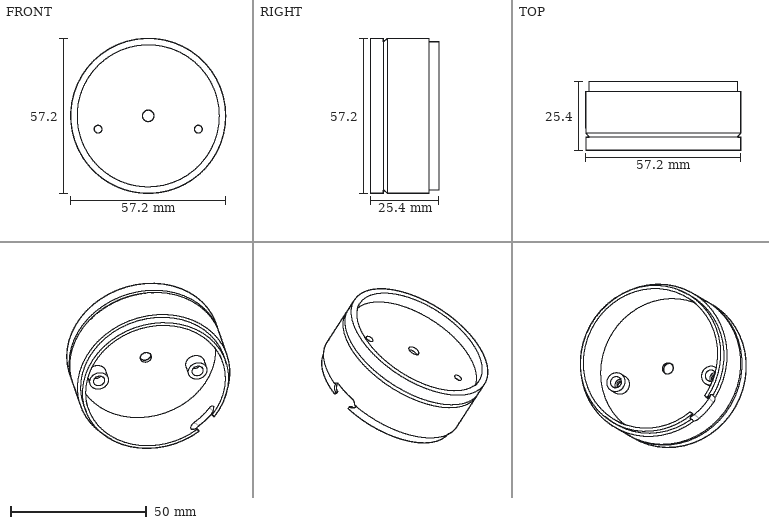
import cadquery as cq

outer_radius = 28.6
length = 25.4
front_y = -length / 2
back_y = length / 2
bore_radius = 26.2

front_ring_length = 4.85
groove_width = 1.5
groove_depth = 1.25
lip_length = 3.7
lip_radius = 27.4

recess_depth = 4.45
floor_thickness = 1.5
center_hole_diameter = 4.2
side_hole_diameter = 2.8
side_hole_x = 18.45
side_hole_z = -4.9

post_diameter = 7.1
post_bore_diameter = 4.2
post_length = 5.05

floor_front_y = front_y + recess_depth
cavity_start_y = floor_front_y + floor_thickness

opening_angle = 45
opening_end_radius = 2.0
opening_neck_width = 8
opening_center_depth = 3.0


def y_cylinder(radius, start_y, end_y):
    """Solid cylinder on the Y axis between two Y positions."""
    return cq.Workplane("XZ", origin=(0, end_y, 0)).circle(radius).extrude(end_y - start_y)


def make_housing():
    """Turned outside with a groove sloped on its rear side and a stepped rear lip."""
    groove_start = front_y + front_ring_length
    lip_start = back_y - lip_length
    return (
        cq.Workplane("XY")
        .moveTo(0, front_y)
        .lineTo(outer_radius, front_y)
        .lineTo(outer_radius, groove_start)
        .lineTo(outer_radius - groove_depth, groove_start)
        .lineTo(outer_radius, groove_start + groove_width)
        .lineTo(outer_radius, lip_start)
        .lineTo(lip_radius, lip_start)
        .lineTo(lip_radius, back_y)
        .lineTo(0, back_y)
        .close()
        .revolve(360, (0, 0, 0), (0, 1, 0))
    )


def make_hole(diameter, x, z):
    """Round cutter running along the whole length at the given X and Z."""
    return y_cylinder(diameter / 2, front_y, back_y).translate((x, 0, z))


def make_post(x, z):
    """Tubular screw post standing on the rear face of the partition."""
    post_end_y = cavity_start_y + post_length
    post = y_cylinder(post_diameter / 2, floor_front_y, post_end_y)
    bore = y_cylinder(post_bore_diameter / 2, cavity_start_y, post_end_y)
    return post.cut(bore).translate((x, 0, z))


def make_cable_opening():
    """Radial slot with round ends and a neck that opens at the rear edge."""
    center_y = back_y - opening_center_depth
    slot_length = opening_neck_width + 2 * opening_end_radius
    side = cq.Workplane("XY", origin=(0, center_y, 0))
    slot = side.slot2D(slot_length, 2 * opening_end_radius).extrude(-outer_radius)
    neck = (
        side.center(0, opening_center_depth / 2)
        .rect(opening_neck_width, opening_center_depth)
        .extrude(-outer_radius)
    )
    return slot.union(neck).rotate((0, 0, 0), (0, 1, 0), opening_angle)


result = make_housing()
result = result.cut(y_cylinder(bore_radius, front_y, floor_front_y))
result = result.cut(y_cylinder(bore_radius, cavity_start_y, back_y))
result = result.cut(make_hole(center_hole_diameter, 0, 0))
for hole_x in (-side_hole_x, side_hole_x):
    result = result.union(make_post(hole_x, side_hole_z))
    result = result.cut(make_hole(side_hole_diameter, hole_x, side_hole_z))
result = result.cut(make_cable_opening())